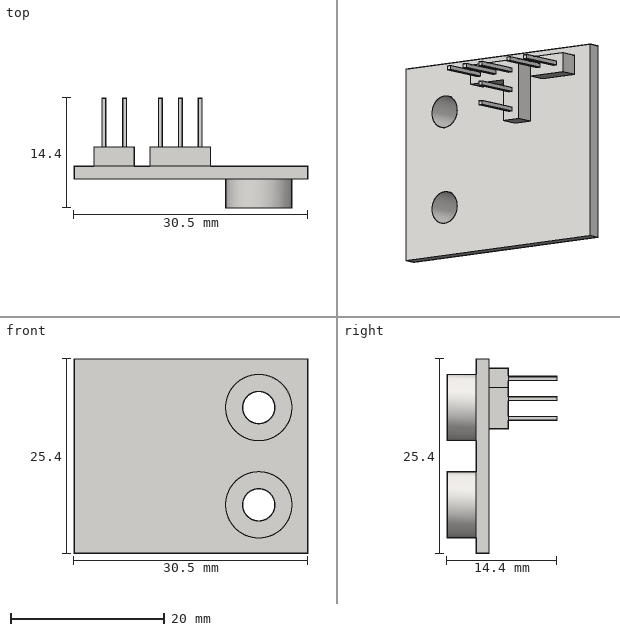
import cadquery as cq

board_width = 30.48
board_height = 25.4
board_thickness = 1.68

boss_diameter = 8.65
boss_length = 3.8
bore_diameter = 4.18
boss_x = 24.08
boss_heights = (board_height / 4, board_height * 3 / 4)

header_depth = 2.53
header_top = board_height - 1.22
strip_width = 2.53
pin_size = 0.52
pin_length = 6.35

short_header_left = 2.55
short_header_length = 5.3
short_header_pitch = 2.7

corner_header_left = 9.88
corner_header_length = 7.92
corner_header_pitch = 2.6


def box_from(left, front, bottom, width, depth, height):
    """Box placed by its left, front, bottom corner."""
    return cq.Workplane("XY").box(width, depth, height, centered=False).translate((left, front, bottom))


def header_block(left, width, height):
    """Plastic block hanging down from the common header top line."""
    return box_from(left, board_thickness, header_top - height, width, header_depth, height)


def pin(x, z):
    """Square pin standing on the back of a header block."""
    return box_from(
        x - pin_size / 2, board_thickness + header_depth, z - pin_size / 2,
        pin_size, pin_length, pin_size,
    )


def short_header():
    header = header_block(short_header_left, short_header_length, strip_width)
    middle_x = short_header_left + short_header_length / 2
    pin_z = header_top - strip_width / 2
    for side in (-1, 1):
        header = header.union(pin(middle_x + side * short_header_pitch / 2, pin_z))
    return header


def corner_header():
    across = header_block(corner_header_left, corner_header_length, strip_width)
    down = header_block(corner_header_left, strip_width, corner_header_length)
    header = across.union(down)
    first_offset = corner_header_length / 2 - corner_header_pitch
    first_x = corner_header_left + first_offset
    first_z = header_top - first_offset
    header = header.union(pin(first_x, first_z))
    for step in (1, 2):
        header = header.union(pin(first_x + step * corner_header_pitch, first_z))
        header = header.union(pin(first_x, first_z - step * corner_header_pitch))
    return header


def front_cylinder(z, diameter, start_y, end_y):
    """Cylinder along Y on the boss centre line."""
    axis_start = cq.Vector(boss_x, start_y, z)
    solid = cq.Solid.makeCylinder(diameter / 2, end_y - start_y, axis_start, cq.Vector(0, 1, 0))
    return cq.Workplane(obj=solid)


result = box_from(0, 0, 0, board_width, board_thickness, board_height)
result = result.union(short_header()).union(corner_header())

for boss_z in boss_heights:
    result = result.union(front_cylinder(boss_z, boss_diameter, -boss_length, 0))
    result = result.cut(front_cylinder(boss_z, bore_diameter, -boss_length, board_thickness))